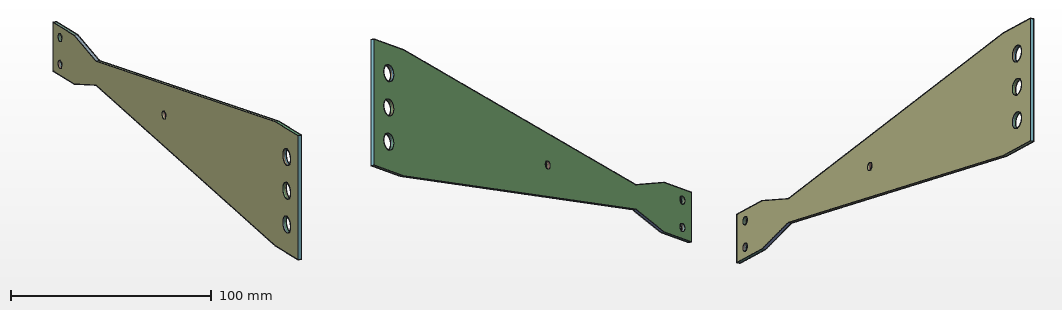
import cadquery as cq

length = 275.5
thickness = 2.05
wide_end_width = 65.0
wide_end_length = 25.5
narrow_end_width = 25.5
narrow_end_length = 24.0
waist_width = 12.7
waist_x = 48.5

small_hole_diameter = 4.0
narrow_end_hole_x = 8.0
narrow_end_hole_spacing = 14.0
middle_hole_x = 124.8
large_hole_diameter = 8.5
large_hole_x = length - wide_end_length / 2
large_hole_spacing = 17.5


def make_plate():
    """Flat plate, symmetric about Z = 0, with a narrow waist and a flared end."""
    upper_edge = [
        (0, narrow_end_width / 2),
        (narrow_end_length, narrow_end_width / 2),
        (waist_x, waist_width / 2),
        (length - wide_end_length, wide_end_width / 2),
        (length, wide_end_width / 2),
    ]
    lower_edge = [(x, -z) for x, z in reversed(upper_edge)]
    outline = cq.Workplane("XZ").polyline(upper_edge + lower_edge).close()
    return outline.extrude(thickness / 2, both=True)


def drill(plate, centers, diameter):
    """Cut round through holes at the given (X, Z) centers."""
    pins = cq.Workplane("XZ").pushPoints(centers).circle(diameter / 2)
    return plate.cut(pins.extrude(thickness, both=True))


small_holes = [(narrow_end_hole_x, side * narrow_end_hole_spacing / 2) for side in (-1, 1)]
small_holes.append((middle_hole_x, 0))
large_holes = [(large_hole_x, row * large_hole_spacing) for row in (-1, 0, 1)]

result = make_plate()
result = drill(result, small_holes, small_hole_diameter)
result = drill(result, large_holes, large_hole_diameter)